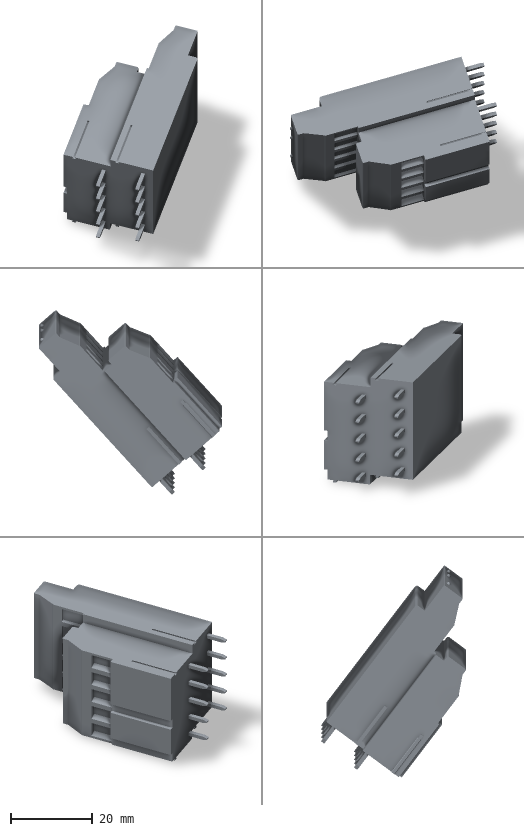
import cadquery as cq

PITCH = 5.1
HALF_PITCH = PITCH / 2
POSITIONS = 5
ROW_LENGTH = POSITIONS * PITCH
OVERLAP = 0.25

SHOULDER_LOW = 16.5
SHOULDER_TALL = 30.0
TOP_LOW = 31.5
TIER_RISE = 13.3
TOP_TALL = TOP_LOW + TIER_RISE
SLOPE_TOP = 1.55
SLOPE_BOTTOM = 6.4
SLOPE_FOOT_BEVEL = 0.15
BACK_LEDGE_TALL = 36.75

WIDTH = 23.1
LOW_RIGHT = 11.9
TALL_LEFT = 12.05
LOW_FACE = 1.3
TALL_FACE = 12.5
LOW_TOP_LEFT = 3.75
TOP_WIDTH = 5.75
TIER_SHIFT = 11.0
TALL_TOP_LEFT = LOW_TOP_LEFT + TIER_SHIFT

TOP_LEFT_RADIUS = 0.3
LOW_TOP_RIGHT_RADIUS = 0.45
TALL_TOP_RIGHT_RADIUS = 0.2
BACK_LEDGE_RADIUS = 0.65

NOTCH_DEPTH = 0.9
NOTCH_STARTS = (0, 4 * HALF_PITCH)

WINDOW_HEIGHT = 3.8
LOW_WINDOW_END = 22.35
LOW_WINDOW_DEPTH = 1.5
LOW_WINDOW_TAPER = 0.55
TALL_WINDOW_END = 35.95
TALL_WINDOW_DEPTH = 0.65
TALL_WINDOW_TAPER = 0.3

PIN_SIZE = 0.95
PIN_LENGTH = 5.05
PIN_TIP_LENGTH = 1.0
PIN_TIP_HEIGHT = 0.3
LOW_PIN_X = 10.4
PIN_ROW_SPACING = 10.1

DOVETAIL_LENGTH = 11.9
DOVETAIL_HEIGHT = 0.58
DOVETAIL_NECK = 0.45
LOW_DOVETAIL_X = 2.7
LOW_DOVETAIL_WAIST = 1.0
LOW_DOVETAIL_WAIST_DROP = 0.35
LOW_DOVETAIL_FOOT = 0.75
LOW_RIB_STOP_LENGTH = 1.0
TALL_DOVETAIL_X = 13.8
TALL_DOVETAIL_WAIST = 0.85
TALL_DOVETAIL_WAIST_DROP = 0.2

STUD_X = 19.25
STUD_HEIGHT = 0.5
STUD_BASE_RADIUS = 0.55
STUD_TIP_RADIUS = 0.25
STUD_STEPS = (1, 3, 4)


def low_housing():
    right = LOW_TOP_LEFT + TOP_WIDTH
    outline = (
        cq.Workplane("XY")
        .polyline([
            (0, 0), (LOW_RIGHT, 0), (LOW_RIGHT, SHOULDER_TALL), (right, SHOULDER_TALL),
            (right, TOP_LOW), (LOW_TOP_LEFT, TOP_LOW), (LOW_TOP_LEFT, TOP_LOW - SLOPE_TOP),
            (LOW_FACE + SLOPE_FOOT_BEVEL, TOP_LOW - SLOPE_BOTTOM + SLOPE_FOOT_BEVEL),
            (LOW_FACE, TOP_LOW - SLOPE_BOTTOM), (LOW_FACE, SHOULDER_LOW), (0, SHOULDER_LOW),
        ])
        .close()
    )
    body = outline.extrude(ROW_LENGTH)
    body = round_edge(body, LOW_TOP_LEFT, TOP_LOW, TOP_LEFT_RADIUS)
    return round_edge(body, right, TOP_LOW, LOW_TOP_RIGHT_RADIUS)


def tall_housing():
    right = TALL_TOP_LEFT + TOP_WIDTH
    outline = (
        cq.Workplane("XY")
        .polyline([
            (TALL_LEFT, 0), (WIDTH, 0), (WIDTH, BACK_LEDGE_TALL), (right, BACK_LEDGE_TALL),
            (right, TOP_TALL), (TALL_TOP_LEFT, TOP_TALL), (TALL_TOP_LEFT, TOP_TALL - SLOPE_TOP),
            (TALL_FACE + SLOPE_FOOT_BEVEL, TOP_TALL - SLOPE_BOTTOM + SLOPE_FOOT_BEVEL),
            (TALL_FACE, TOP_TALL - SLOPE_BOTTOM), (TALL_FACE, SHOULDER_TALL), (TALL_LEFT, SHOULDER_TALL),
        ])
        .close()
    )
    body = outline.extrude(ROW_LENGTH)
    body = round_edge(body, TALL_TOP_LEFT, TOP_TALL, TOP_LEFT_RADIUS)
    body = round_edge(body, right, TOP_TALL, TALL_TOP_RIGHT_RADIUS)
    body = round_edge(body, WIDTH, BACK_LEDGE_TALL, BACK_LEDGE_RADIUS)
    return body.translate((0, 0, HALF_PITCH))


def round_edge(body, x, y, radius):
    """Fillet the Z-parallel edge that passes through (x, y)."""
    nearest = cq.selectors.NearestToPointSelector((x, y, ROW_LENGTH / 2))
    return body.edges("|Z").edges(nearest).fillet(radius)


def tier_bridge():
    """Material that closes the gap between the tiers where their rows overlap."""
    return cq.Workplane("XY").box(
        TALL_LEFT - LOW_RIGHT + 2 * OVERLAP, SHOULDER_TALL, ROW_LENGTH - HALF_PITCH, centered=False
    ).translate((LOW_RIGHT - OVERLAP, 0, HALF_PITCH))


def window(face_x, start_y, end_y, depth, taper, z):
    """Wire window whose upper and lower walls close in towards its floor."""
    mouth = WINDOW_HEIGHT / 2
    floor = mouth - taper
    return (
        cq.Workplane("XZ", origin=(face_x, start_y, z))
        .polyline([(0, -mouth), (depth, -floor), (depth, floor), (0, mouth)])
        .close()
        .extrude(start_y - end_y)
    )


def pin(x, z):
    """Square pin with a tip that tapers in Z."""
    half = PIN_SIZE / 2
    half_tip = PIN_TIP_HEIGHT / 2
    shaft_end = PIN_TIP_LENGTH - PIN_LENGTH
    return (
        cq.Workplane("YZ", origin=(x, 0, z))
        .polyline([
            (OVERLAP, -half), (shaft_end, -half), (-PIN_LENGTH, -half_tip),
            (-PIN_LENGTH, half_tip), (shaft_end, half), (OVERLAP, half),
        ])
        .close()
        .extrude(half, both=True)
    )


def dovetail(x, z, length, waist_width, waist_drop, foot_width):
    """Bar hanging below height z: a narrow neck, a wide waist, then a flat foot."""
    neck = DOVETAIL_NECK / 2
    waist = waist_width / 2
    foot = foot_width / 2
    return (
        cq.Workplane("XZ", origin=(x, 0, z))
        .polyline([
            (-neck, 0), (-waist, -waist_drop), (-foot, -DOVETAIL_HEIGHT),
            (foot, -DOVETAIL_HEIGHT), (waist, -waist_drop), (neck, 0),
        ])
        .close()
        .extrude(-length)
    )


def low_dovetail(z, length):
    return dovetail(
        LOW_DOVETAIL_X, z, length, LOW_DOVETAIL_WAIST, LOW_DOVETAIL_WAIST_DROP, LOW_DOVETAIL_FOOT
    )


def tall_dovetail(z):
    return dovetail(
        TALL_DOVETAIL_X, z, DOVETAIL_LENGTH,
        TALL_DOVETAIL_WAIST, TALL_DOVETAIL_WAIST_DROP, TALL_DOVETAIL_WAIST,
    )


def low_rib():
    """Dovetail rib that ends in a plain straight-sided stop."""
    stop = cq.Workplane("XY").box(
        LOW_DOVETAIL_FOOT, LOW_RIB_STOP_LENGTH, DOVETAIL_HEIGHT, centered=(True, False, False)
    )
    stop_start = DOVETAIL_LENGTH - LOW_RIB_STOP_LENGTH
    return low_dovetail(0, stop_start).union(stop.translate((LOW_DOVETAIL_X, stop_start, -DOVETAIL_HEIGHT)))


def stud(z):
    """Conical stud with a flat tip on the end face of the tall tier."""
    base = cq.Vector(STUD_X, TOP_TALL, z)
    return cq.Workplane(
        cq.Solid.makeCone(STUD_BASE_RADIUS, STUD_TIP_RADIUS, STUD_HEIGHT, base, cq.Vector(0, 1, 0))
    )


block = low_housing().union(tall_housing()).union(tier_bridge())

for notch_z in NOTCH_STARTS:
    block = block.cut(
        cq.Workplane("XY").box(NOTCH_DEPTH, SHOULDER_LOW, HALF_PITCH, centered=False).translate((0, 0, notch_z))
    )

for position in range(POSITIONS):
    low_z = HALF_PITCH + position * PITCH
    tall_z = low_z + HALF_PITCH
    block = block.cut(window(LOW_FACE, SHOULDER_LOW, LOW_WINDOW_END, LOW_WINDOW_DEPTH, LOW_WINDOW_TAPER, low_z))
    block = block.cut(
        window(TALL_FACE, SHOULDER_TALL, TALL_WINDOW_END, TALL_WINDOW_DEPTH, TALL_WINDOW_TAPER, tall_z)
    )
    block = block.union(pin(LOW_PIN_X, low_z)).union(pin(LOW_PIN_X + PIN_ROW_SPACING, tall_z))

block = block.union(low_rib()).union(tall_dovetail(HALF_PITCH))
block = block.cut(low_dovetail(ROW_LENGTH, DOVETAIL_LENGTH))
block = block.cut(tall_dovetail(HALF_PITCH + ROW_LENGTH))

for step in STUD_STEPS:
    block = block.union(stud(HALF_PITCH + step * PITCH))

result = block